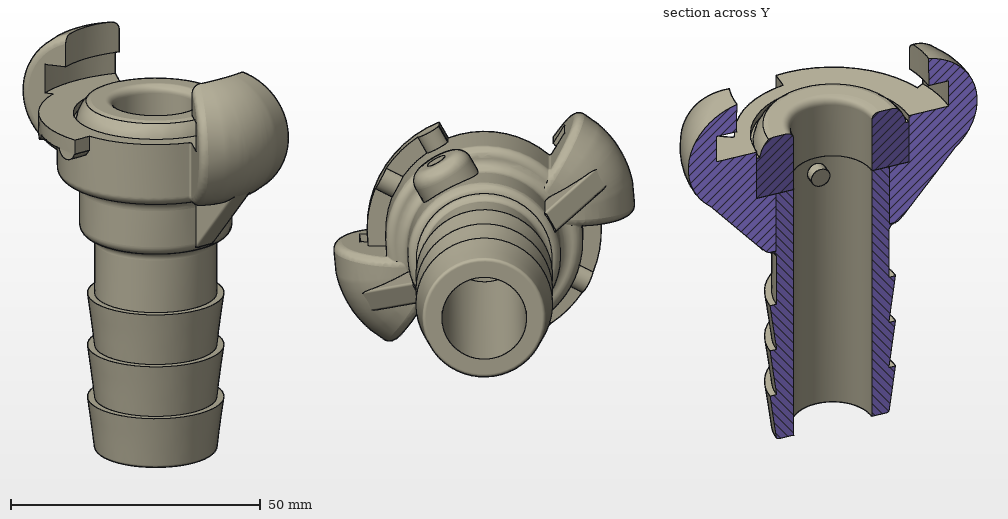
import cadquery as cq
import math

DIAGONAL = math.sqrt(0.5)

overall_height = 84.0
overall_width = 62.9
overall_depth = 46.95

bore_radius = 17.0 / 2
tail_radius = 24.5 / 2
barb_radius = 13.7
barb_count = 3
barb_pitch = 11.0
tail_end_fillet = 0.7
flare_height = 1.85
flare_width = 1.35

housing_bottom = 45.9
neck_radius = 15.3
neck_fillet = 2.0
shoulder_z = 58.0
shoulder_fillet = 2.0
body_radius = 19.7
face_z = 71.2
seat_radius = 33.0 / 2
seat_floor = shoulder_z + shoulder_fillet

lug_radius = overall_depth / 2
lug_thickness = 3.0
lug_end_x = 2.5
bump_radius = lug_end_x
bump_bottom = 66.5
bump_turn = 33.8

claw_radius = 13.35
claw_axis_x = 10.5
claw_center_x = overall_width / 2 - claw_radius
claw_apex_x = 7.4
claw_half_angle = 30.0
claw_root_x = 12.6
claw_fillet = 1.6
claw_root_fillet = 0.4
tip_inner_radius = 20.8
tip_bottom = 77.3
slot_radius = 25.2
claw_center_z = overall_height - math.sqrt(claw_radius**2 - (tip_inner_radius - claw_center_x) ** 2)

rib_width = 4.5
rib_edge_fillet = 0.5
rib_bottom = 47.0
rib_top_x = 28.65
rib_top_z = 63.1

boss_radius = 6.3
boss_fillet = 2.8
boss_face_y = 20.0
pin_radius = 4.0 / 2
pin_tip_y = 6.2
pin_z = 56.5

seal_top = 73.9
seal_shoulder_z = 69.7
seal_lip_radius = 16.0
seal_bulge_radius = 15.0
seal_bulge_z = 72.3
seal_rim_radius = 28.0 / 2
seal_rim_z = 73.7
seal_crown_radius = 12.9
seal_mouth_radius = 10.1
seal_mouth_fillet = seal_mouth_radius - bore_radius


def disc(radius, bottom, top):
    return cq.Workplane("XY").workplane(offset=bottom).circle(radius).extrude(top - bottom)


def y_cylinder(radius, start_y, end_y, z):
    """A cylinder along +Y from start_y to end_y."""
    plane = cq.Plane(origin=(0, start_y, z), xDir=(1, 0, 0), normal=(0, 1, 0))
    return cq.Workplane(plane).circle(radius).extrude(end_y - start_y)


def opposite(shape):
    """The copy on the other side of the Z axis."""
    return shape.rotate((0, 0, 0), (0, 0, 1), 180)


def make_shell():
    """Stepped round wall: neck, shoulder and body, around the tail hole and the seal seat."""
    root_fillet = body_radius - shoulder_fillet - neck_radius
    neck_start = neck_radius - neck_fillet
    ledge_radius = body_radius - shoulder_fillet
    return (
        cq.Workplane("XZ")
        .moveTo(tail_radius, housing_bottom)
        .lineTo(neck_start, housing_bottom)
        .threePointArc(
            (neck_start + neck_fillet * DIAGONAL, housing_bottom + neck_fillet * (1 - DIAGONAL)),
            (neck_radius, housing_bottom + neck_fillet),
        )
        .lineTo(neck_radius, shoulder_z - root_fillet)
        .threePointArc(
            (neck_radius + root_fillet * (1 - DIAGONAL), shoulder_z - root_fillet * (1 - DIAGONAL)),
            (ledge_radius, shoulder_z),
        )
        .threePointArc(
            (ledge_radius + shoulder_fillet * DIAGONAL, shoulder_z + shoulder_fillet * (1 - DIAGONAL)),
            (body_radius, shoulder_z + shoulder_fillet),
        )
        .lineTo(body_radius, face_z)
        .lineTo(seat_radius, face_z)
        .lineTo(seat_radius, seat_floor)
        .lineTo(tail_radius, seat_floor)
        .close()
        .revolve(360, (0, 0, 0), (0, 1, 0))
    )


def make_bump(turn):
    """A round detent along the radius, below the lug on the -Y side, turned towards -X."""
    axis_start = cq.Plane(origin=(0, 0, bump_bottom + bump_radius), xDir=(1, 0, 0), normal=(0, -1, 0))
    rod = cq.Workplane(axis_start).circle(bump_radius).extrude(overall_depth)
    rod = rod.rotate((0, 0, 0), (0, 0, 1), -turn)
    return rod.intersect(disc(lug_radius, shoulder_z, face_z))


def make_lug():
    """A flange sector from its end face near -Y round to the middle of the -X claw."""
    reach = overall_width
    sector = (
        cq.Workplane("XY")
        .workplane(offset=face_z - lug_thickness)
        .polyline([(lug_end_x, 0), (lug_end_x, -reach), (-reach, -reach), (-reach, 0)])
        .close()
        .extrude(lug_thickness)
    )
    lug = sector.intersect(disc(lug_radius, face_z - lug_thickness, face_z))
    return lug.union(make_bump(0)).union(make_bump(bump_turn))


def make_claw():
    """The -X claw: a barrel cut to a wedge, with a slot behind its tip for the mating lug."""
    slope = math.tan(math.radians(claw_half_angle))
    root_y = (claw_root_x - claw_apex_x) * slope
    outer_y = (overall_width - claw_apex_x) * slope
    wedge = (
        cq.Workplane("XY")
        .polyline(
            [
                (-claw_root_x, root_y),
                (-overall_width, outer_y),
                (-overall_width, -outer_y),
                (-claw_root_x, -root_y),
            ]
        )
        .close()
        .extrude(2 * overall_height)
    )
    arm = claw_center_x - claw_axis_x
    axis_rise = math.sqrt(claw_radius**2 - arm**2)
    barrel = (
        cq.Workplane(cq.Plane(origin=(-claw_axis_x, 0, claw_center_z), xDir=(-1, 0, 0), normal=(0, 1, 0)))
        .moveTo(0, -axis_rise)
        .threePointArc((arm + claw_radius, 0), (0, axis_rise))
        .close()
        .revolve(360, (0, 0, 0), (0, 1, 0))
    )
    claw = barrel.intersect(wedge)
    claw = claw.faces("<Y or >Y").edges("not %LINE").fillet(claw_fillet)
    claw = claw.cut(disc(tip_inner_radius, face_z, 2 * overall_height))
    return claw.cut(disc(slot_radius, face_z, tip_bottom))


def make_rib():
    """The web that carries the -X claw from the neck."""
    web = (
        cq.Workplane("XZ")
        .polyline(
            [
                (-neck_radius, rib_bottom),
                (-rib_top_x, rib_top_z),
                (-tail_radius, rib_top_z),
                (-tail_radius, rib_bottom),
            ]
        )
        .close()
        .extrude(rib_width / 2, both=True)
    )
    return web.faces("<X").edges("not |Y").fillet(rib_edge_fillet)


def cut_bores(housing):
    """Clear the tail hole and the seal seat."""
    return housing.cut(disc(tail_radius, 0, seat_floor)).cut(disc(seat_radius, seat_floor, face_z))


def blend_claw_roots(housing):
    """Round the upright inner corners where the claws meet the body."""
    for side in (-1, 1):
        outside_seat = cq.selectors.BoxSelector(
            (side * seat_radius, -body_radius, shoulder_z),
            (side * body_radius, body_radius, face_z),
        )
        housing = housing.edges("|Z").edges(outside_seat).fillet(claw_root_fillet)
    return housing


def make_housing():
    housing = make_shell()
    for arm in (make_claw(), make_rib()):
        housing = housing.union(arm).union(opposite(arm))
    housing = cut_bores(housing)
    housing = blend_claw_roots(housing)
    lug = make_lug()
    housing = housing.union(lug).union(opposite(lug))
    boss = y_cylinder(boss_radius, 0, boss_face_y, pin_z).faces(">Y").edges().fillet(boss_fillet)
    housing = housing.union(boss)
    return cut_bores(housing).cut(y_cylinder(pin_radius, 0, boss_face_y, pin_z))


def make_hose_tail():
    profile = cq.Workplane("XZ").moveTo(bore_radius, 0).lineTo(tail_radius, 0)
    for number in range(1, barb_count + 1):
        barb_top = number * barb_pitch
        profile = profile.lineTo(barb_radius, barb_top).lineTo(tail_radius, barb_top)
    flare_bottom = housing_bottom - flare_height
    flare_middle = (tail_radius + flare_width * (1 - DIAGONAL), flare_bottom + flare_height * DIAGONAL)
    tail = (
        profile.lineTo(tail_radius, flare_bottom)
        .threePointArc(flare_middle, (tail_radius + flare_width, housing_bottom))
        .lineTo(tail_radius, housing_bottom)
        .lineTo(tail_radius, seat_floor)
        .lineTo(bore_radius, seat_floor)
        .close()
        .revolve(360, (0, 0, 0), (0, 1, 0))
    )
    tail = tail.faces("<Z").edges(cq.selectors.RadiusNthSelector(-1)).fillet(tail_end_fillet)
    return tail.cut(y_cylinder(pin_radius, 0, boss_face_y, pin_z))


def make_seal():
    seal = (
        cq.Workplane("XZ")
        .moveTo(bore_radius, seat_floor)
        .lineTo(seat_radius, seat_floor)
        .lineTo(seat_radius, seal_shoulder_z)
        .lineTo(seal_lip_radius, seal_shoulder_z)
        .threePointArc((seal_bulge_radius, seal_bulge_z), (seal_rim_radius, seal_rim_z))
        .lineTo(seal_crown_radius, seal_top)
        .lineTo(bore_radius, seal_top)
        .close()
        .revolve(360, (0, 0, 0), (0, 1, 0))
    )
    return seal.faces(">Z").edges(cq.selectors.RadiusNthSelector(0)).fillet(seal_mouth_fillet)


def make_pin():
    return y_cylinder(pin_radius, pin_tip_y, boss_face_y, pin_z)


housing = make_housing()
hose_tail = make_hose_tail()
seal = make_seal()
pin = make_pin()
bodies = (housing, hose_tail, seal, pin)
result = cq.Compound.makeCompound([body.solids().val() for body in bodies])